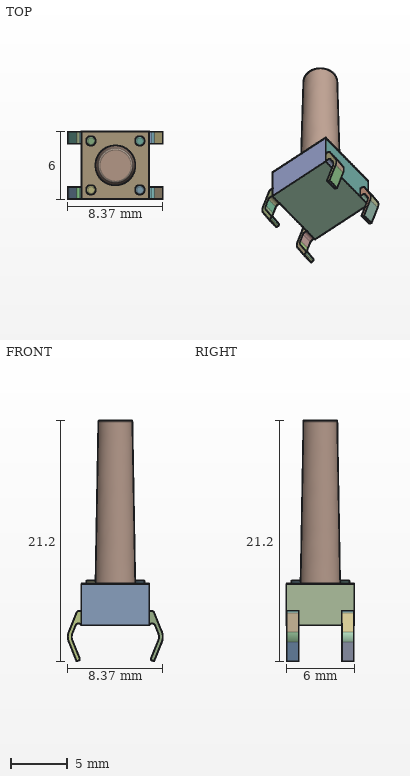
import cadquery as cq
import math

total_height = 21.18
span_over_legs = 8.37
leg_depth = 3.18

housing_side = 6.0
housing_height = 3.69
housing_edge_chamfer = 0.06

plunger_top_z = total_height - leg_depth
plunger_base_diameter = 3.52
plunger_top_diameter = 3.0
plunger_edge_radius = 0.13

stud_diameter = 0.85
stud_height = 0.25
stud_edge_radius = 0.13
stud_pitch = 4.3

leg_thickness = 0.35
leg_width = 1.05
leg_pitch = 4.85
leg_slope = math.radians(22)
bend_outer_radius = 1.16
bend_center_z = -1.02
shoulder_top_z = 1.27
shoulder_radius = 0.28
root_relief_height = 0.15
tip_radius = 0.15
leg_embed = 0.21


def make_housing():
    block = cq.Workplane("XY").box(
        housing_side, housing_side, housing_height, centered=(True, True, False)
    )
    return block.faces(">Z").edges().chamfer(housing_edge_chamfer)


def make_plunger():
    base_radius = plunger_base_diameter / 2
    top_radius = plunger_top_diameter / 2
    half_section = [
        (0, housing_height),
        (base_radius, housing_height),
        (top_radius, plunger_top_z),
        (0, plunger_top_z),
    ]
    cone = cq.Workplane("XZ").polyline(half_section).close().revolve(360, (0, 0, 0), (0, 1, 0))
    return cone.faces(">Z").edges().fillet(plunger_edge_radius)


def make_studs():
    studs = (
        cq.Workplane("XY")
        .workplane(offset=housing_height)
        .rect(stud_pitch, stud_pitch, forConstruction=True)
        .vertices()
        .circle(stud_diameter / 2)
        .extrude(stud_height)
    )
    return studs.faces(">Z").edges().fillet(stud_edge_radius)


def make_leg(center_y):
    """Leg on the +X side, its profile in XZ extruded across its width."""
    bend_outer_x = span_over_legs / 2
    bend_center_x = bend_outer_x - bend_outer_radius
    bend_inner_radius = bend_outer_radius - leg_thickness

    def bend_point(radius, angle):
        return (
            bend_center_x + radius * math.cos(angle),
            bend_center_z + radius * math.sin(angle),
        )

    def along_slope(start, z):
        """Point at height z on the strip's straight run that leaves the bend at start."""
        return (start[0] - abs(z - start[1]) * math.tan(leg_slope), z)

    outer_top = bend_point(bend_outer_radius, leg_slope)
    outer_bottom = bend_point(bend_outer_radius, -leg_slope)
    inner_top = bend_point(bend_inner_radius, leg_slope)
    inner_bottom = bend_point(bend_inner_radius, -leg_slope)

    shoulder = along_slope(outer_top, shoulder_top_z)
    tip_outer = along_slope(outer_bottom, -leg_depth)
    tip_inner_z = tip_outer[1] + leg_thickness * math.sin(leg_slope)
    tip_inner = along_slope(inner_bottom, tip_inner_z)

    housing_face_x = housing_side / 2
    embedded_x = housing_face_x - leg_embed
    relief_start = along_slope(inner_top, 0)
    relief_end = (housing_face_x, 0)
    relief_crown = ((relief_start[0] + relief_end[0]) / 2, root_relief_height)

    leg = (
        cq.Workplane("XZ", origin=(0, center_y, 0))
        .moveTo(embedded_x, shoulder_top_z)
        .lineTo(*shoulder)
        .lineTo(*outer_top)
        .threePointArc((bend_outer_x, bend_center_z), outer_bottom)
        .lineTo(*tip_outer)
        .lineTo(*tip_inner)
        .lineTo(*inner_bottom)
        .threePointArc((bend_outer_x - leg_thickness, bend_center_z), inner_top)
        .lineTo(*relief_start)
        .threePointArc(relief_crown, relief_end)
        .lineTo(embedded_x, 0)
        .close()
        .extrude(leg_width / 2, both=True)
    )
    shoulder_edge = cq.NearestToPointSelector((shoulder[0], center_y, shoulder[1]))
    tip_edge = cq.NearestToPointSelector((tip_inner[0], center_y, tip_inner[1]))
    leg = leg.edges(shoulder_edge).fillet(shoulder_radius)
    return leg.edges(tip_edge).fillet(tip_radius)


result = make_housing().union(make_plunger()).union(make_studs())
for leg_y in (-leg_pitch / 2, leg_pitch / 2):
    leg = make_leg(leg_y)
    result = result.union(leg).union(leg.mirror("YZ"))